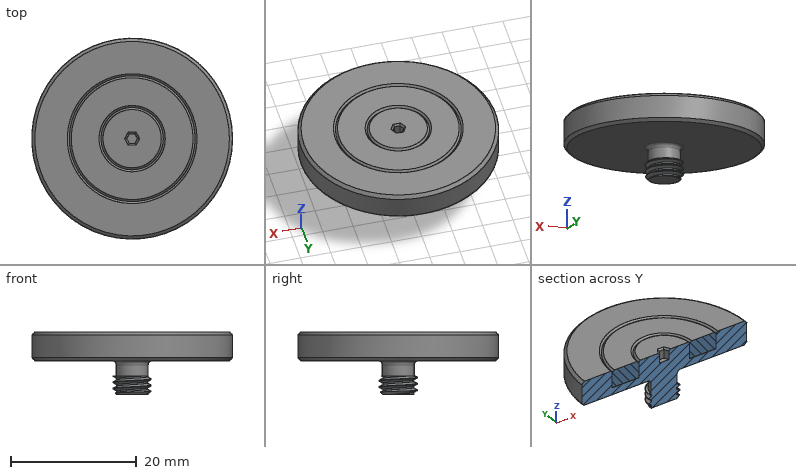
import cadquery as cq
import math

DISC_DIAMETER = 32.0
DISC_HEIGHT = 4.65
RIM_CHAMFER = 0.5

RING_OUTER_RADIUS = 10.0
RING_INNER_RADIUS = 4.95
RING_DEPTH = 3.2
GROOVE_CHAMFER = 0.32

TOTAL_HEIGHT = 10.0
STUD_RADIUS = 2.55
STUD_FILLET = 0.6
THREAD_TOP = -7.05
THREAD_PITCH = 1.0
CREST_RADIUS = 3.05
ROOT_RADIUS = 2.45
CREST_WIDTH = 0.1
FLANK_ANGLE = 30.0
ROOT_OVERLAP = 0.1
ENVELOPE_CLEARANCE = 0.15
THREAD_PHASE = 0.45

SOCKET_FLATS = 1.5
SOCKET_CHAMFER = 0.3
SOCKET_DEPTH = 1.92

STUD_BOTTOM = -TOTAL_HEIGHT


def cylinder(radius, bottom, top):
    return cq.Workplane("XY").workplane(offset=bottom).circle(radius).extrude(top - bottom)


def make_ring():
    """Annular inlay, flush with the disc, with both top edges chamfered."""
    blank = cylinder(RING_OUTER_RADIUS, -RING_DEPTH, 0)
    ring = blank.cut(cylinder(RING_INNER_RADIUS, -RING_DEPTH, 0))
    return ring.faces(">Z").edges().chamfer(GROOVE_CHAMFER)


def make_disc_with_shank():
    """Revolved disc with its ring recess and the plain shank of the stud."""
    disc_radius = DISC_DIAMETER / 2
    fillet_mid = STUD_FILLET * (1 - math.sqrt(0.5))
    return (
        cq.Workplane("XZ")
        .moveTo(0, 0)
        .lineTo(RING_INNER_RADIUS - GROOVE_CHAMFER, 0)
        .lineTo(RING_INNER_RADIUS, -GROOVE_CHAMFER)
        .lineTo(RING_INNER_RADIUS, -RING_DEPTH)
        .lineTo(RING_OUTER_RADIUS, -RING_DEPTH)
        .lineTo(RING_OUTER_RADIUS, -GROOVE_CHAMFER)
        .lineTo(RING_OUTER_RADIUS + GROOVE_CHAMFER, 0)
        .lineTo(disc_radius - RIM_CHAMFER, 0)
        .lineTo(disc_radius, -RIM_CHAMFER)
        .lineTo(disc_radius, -DISC_HEIGHT + RIM_CHAMFER)
        .lineTo(disc_radius - RIM_CHAMFER, -DISC_HEIGHT)
        .lineTo(STUD_RADIUS + STUD_FILLET, -DISC_HEIGHT)
        .threePointArc(
            (STUD_RADIUS + fillet_mid, -DISC_HEIGHT - fillet_mid),
            (STUD_RADIUS, -DISC_HEIGHT - STUD_FILLET),
        )
        .lineTo(STUD_RADIUS, THREAD_TOP)
        .lineTo(0, THREAD_TOP)
        .close()
        .revolve(360, (0, 0, 0), (0, 1, 0))
    )


def make_thread():
    """Core with a right-hand helical ridge, cut flat at the top and chamfered at the tip."""
    start = STUD_BOTTOM + THREAD_PHASE - THREAD_PITCH
    length = THREAD_TOP - start + THREAD_PITCH
    helix = cq.Wire.makeHelix(THREAD_PITCH, length, ROOT_RADIUS).translate(cq.Vector(0, 0, start))
    base_radius = ROOT_RADIUS - ROOT_OVERLAP
    crest_half = CREST_WIDTH / 2
    base_half = crest_half + (CREST_RADIUS - base_radius) * math.tan(math.radians(FLANK_ANGLE))
    ridge = (
        cq.Workplane("XZ")
        .polyline([
            (base_radius, start - base_half),
            (CREST_RADIUS, start - crest_half),
            (CREST_RADIUS, start + crest_half),
            (base_radius, start + base_half),
        ])
        .close()
        .sweep(cq.Workplane(obj=helix), isFrenet=True)
    )
    core = cylinder(ROOT_RADIUS, start - THREAD_PITCH, THREAD_TOP + 2 * THREAD_PITCH)
    envelope_radius = CREST_RADIUS + ENVELOPE_CLEARANCE
    envelope = (
        cylinder(envelope_radius, STUD_BOTTOM, THREAD_TOP)
        .faces("<Z").edges().chamfer(envelope_radius - ROOT_RADIUS)
    )
    return core.union(ridge).intersect(envelope)


def make_socket():
    """Hexagonal socket with a tapered mouth, its corners on the X axis."""
    corner_ratio = 1 / math.cos(math.radians(30))
    mouth_flats = SOCKET_FLATS + 2 * SOCKET_CHAMFER
    shaft = (
        cq.Workplane("XY").workplane(offset=-SOCKET_DEPTH)
        .polygon(6, SOCKET_FLATS * corner_ratio).extrude(SOCKET_DEPTH)
    )
    mouth = (
        cq.Workplane("XY").polygon(6, mouth_flats * corner_ratio)
        .workplane(offset=-SOCKET_CHAMFER)
        .polygon(6, SOCKET_FLATS * corner_ratio).loft(ruled=True)
    )
    return shaft.union(mouth)


ring = make_ring()
studded_disc = make_disc_with_shank().union(make_thread()).cut(make_socket())

result = cq.Compound.makeCompound([studded_disc.val(), ring.val()])